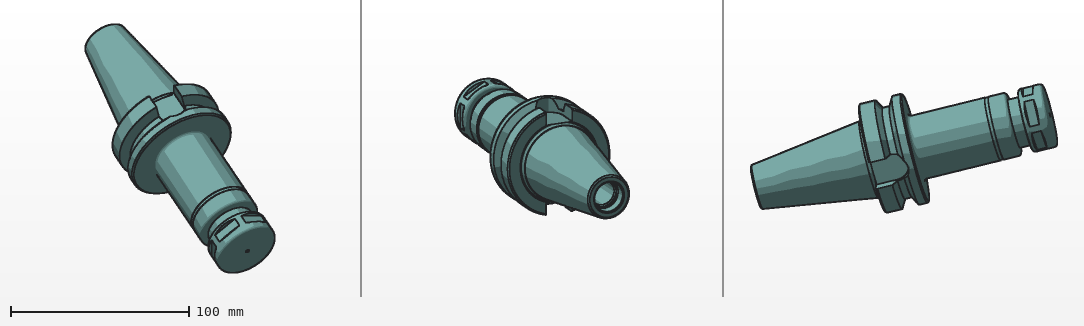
import cadquery as cq
import math


TAPER_SLOPE = 7 / 48
TAPER_LENGTH = 65.5
GAUGE_RADIUS = 44.5 / 2
TAPER_END_CHAMFER = 0.9
NECK_RADIUS = 22.0
NECK_FILLET = 1.4
RELIEF_DEPTH = 0.3
RELIEF_RAMP = 0.7

NECK_LENGTH = 2.0
FLANGE_START = TAPER_LENGTH + NECK_LENGTH
FLANGE_END = 92.5
FLANGE_RADIUS = 31.5
FLANGE_CHAMFER = 0.9
GROOVE_CENTRE = 82.0
GROOVE_FLOOR_WIDTH = 4.1
GROOVE_FLOOR_RADIUS = 26.4
GROOVE_FLANK_ANGLE = 30
SLOT_WIDTH = 16.0
SLOT_END = 88.3
SLOT_FLOOR_HEIGHT = 22.8

BODY_RADIUS = 18.2
BODY_END = 149.6
BODY_ROOT_FILLET = 2.4
BODY_END_FILLET = 2.0
RING_GROOVE_START = 137.2
RING_GROOVE_WIDTH = 2.0
RING_GROOVE_RADIUS = 36.0 / 2
NOSE_RADIUS = 14.0

NUT_START = 156.1
NUT_END = 170.4
NUT_RADIUS = BODY_RADIUS
NUT_FILLET = 2.0
POCKET_COUNT = 6
POCKET_START = 159.2
POCKET_END = 164.6
POCKET_FLOOR_RADIUS = 16.7
POCKET_WALL_FLARE = 0.7

MOUTH_RADIUS = 18.7 / 2
COUNTERBORE_RADIUS = 17.4 / 2
COUNTERBORE_DEPTH = 6.8
BORE_STEP_RADIUS = 16.0 / 2
BORE_STEP_DEPTH = 8.0
THREAD_BORE_RADIUS = 14.3 / 2
THREAD_BORE_DEPTH = 29
PILOT_RADIUS = 5.0 / 2
PILOT_DEPTH = 34
COOLANT_RADIUS = 2.0 / 2


def revolve_about_x(outline):
    """Turn a closed outline of (x, radius) about the X axis."""
    return outline.close().revolve(360, (0, 0, 0), (1, 0, 0))


def make_taper():
    small_radius = GAUGE_RADIUS - TAPER_LENGTH * TAPER_SLOPE
    return revolve_about_x(
        cq.Workplane("XY")
        .lineTo(0, small_radius - TAPER_END_CHAMFER)
        .lineTo(TAPER_END_CHAMFER, small_radius + TAPER_END_CHAMFER * TAPER_SLOPE)
        .lineTo(TAPER_LENGTH, GAUGE_RADIUS)
        .lineTo(TAPER_LENGTH, 0)
    )


def make_flange():
    floor_start = GROOVE_CENTRE - GROOVE_FLOOR_WIDTH / 2
    floor_end = GROOVE_CENTRE + GROOVE_FLOOR_WIDTH / 2
    flank_width = (FLANGE_RADIUS - GROOVE_FLOOR_RADIUS) * math.tan(math.radians(GROOVE_FLANK_ANGLE))
    rim_radius = FLANGE_RADIUS - FLANGE_CHAMFER
    relief_floor = FLANGE_START + RELIEF_DEPTH
    relief_radius = NECK_RADIUS + NECK_FILLET
    return revolve_about_x(
        cq.Workplane("XY")
        .moveTo(TAPER_LENGTH, 0)
        .lineTo(TAPER_LENGTH, NECK_RADIUS)
        .lineTo(relief_floor - NECK_FILLET, NECK_RADIUS)
        .radiusArc((relief_floor, relief_radius), -NECK_FILLET)
        .lineTo(FLANGE_START, relief_radius + RELIEF_RAMP)
        .lineTo(FLANGE_START, rim_radius)
        .lineTo(FLANGE_START + FLANGE_CHAMFER, FLANGE_RADIUS)
        .lineTo(floor_start - flank_width, FLANGE_RADIUS)
        .lineTo(floor_start, GROOVE_FLOOR_RADIUS)
        .lineTo(floor_end, GROOVE_FLOOR_RADIUS)
        .lineTo(floor_end + flank_width, FLANGE_RADIUS)
        .lineTo(FLANGE_END - FLANGE_CHAMFER, FLANGE_RADIUS)
        .lineTo(FLANGE_END, rim_radius)
        .lineTo(FLANGE_END, 0)
    )


def make_body():
    ring_groove_end = RING_GROOVE_START + RING_GROOVE_WIDTH
    return revolve_about_x(
        cq.Workplane("XY")
        .moveTo(FLANGE_END, 0)
        .lineTo(FLANGE_END, BODY_RADIUS + BODY_ROOT_FILLET)
        .radiusArc((FLANGE_END + BODY_ROOT_FILLET, BODY_RADIUS), -BODY_ROOT_FILLET)
        .lineTo(RING_GROOVE_START, BODY_RADIUS)
        .lineTo(RING_GROOVE_START, RING_GROOVE_RADIUS)
        .lineTo(ring_groove_end, RING_GROOVE_RADIUS)
        .lineTo(ring_groove_end, BODY_RADIUS)
        .lineTo(BODY_END - BODY_END_FILLET, BODY_RADIUS)
        .radiusArc((BODY_END, BODY_RADIUS - BODY_END_FILLET), BODY_END_FILLET)
        .lineTo(BODY_END, NOSE_RADIUS)
        .lineTo(NUT_START, NOSE_RADIUS)
        .lineTo(NUT_START, 0)
    )


def make_nut():
    shoulder_radius = NUT_RADIUS - NUT_FILLET
    return revolve_about_x(
        cq.Workplane("XY")
        .moveTo(NUT_START, 0)
        .lineTo(NUT_START, shoulder_radius)
        .radiusArc((NUT_START + NUT_FILLET, NUT_RADIUS), NUT_FILLET)
        .lineTo(NUT_END - NUT_FILLET, NUT_RADIUS)
        .radiusArc((NUT_END, shoulder_radius), NUT_FILLET)
        .lineTo(NUT_END, 0)
    )


def make_drive_slot():
    """Round-ended slot cutter for the +Z side of the flange."""
    end_radius = SLOT_WIDTH / 2
    arc_start = SLOT_END - end_radius
    return (
        cq.Workplane("XY", origin=(0, 0, SLOT_FLOOR_HEIGHT))
        .moveTo(TAPER_LENGTH, -end_radius)
        .lineTo(arc_start, -end_radius)
        .threePointArc((SLOT_END, 0), (arc_start, end_radius))
        .lineTo(TAPER_LENGTH, end_radius)
        .close()
        .extrude(FLANGE_RADIUS)
    )


def make_wrench_pocket():
    """Flat-floored cutter with flared end walls, for the +Y side of the nut."""
    return (
        cq.Workplane("XY")
        .moveTo(POCKET_START, POCKET_FLOOR_RADIUS)
        .lineTo(POCKET_END, POCKET_FLOOR_RADIUS)
        .lineTo(POCKET_END + POCKET_WALL_FLARE, NUT_RADIUS)
        .lineTo(POCKET_START - POCKET_WALL_FLARE, NUT_RADIUS)
        .close()
        .extrude(NUT_RADIUS, both=True)
    )


def make_bore():
    mouth_depth = MOUTH_RADIUS - COUNTERBORE_RADIUS
    step_start = COUNTERBORE_DEPTH + COUNTERBORE_RADIUS - BORE_STEP_RADIUS
    thread_start = BORE_STEP_DEPTH + BORE_STEP_RADIUS - THREAD_BORE_RADIUS
    return revolve_about_x(
        cq.Workplane("XY")
        .lineTo(0, MOUTH_RADIUS)
        .lineTo(mouth_depth, COUNTERBORE_RADIUS)
        .lineTo(COUNTERBORE_DEPTH, COUNTERBORE_RADIUS)
        .lineTo(step_start, BORE_STEP_RADIUS)
        .lineTo(BORE_STEP_DEPTH, BORE_STEP_RADIUS)
        .lineTo(thread_start, THREAD_BORE_RADIUS)
        .lineTo(THREAD_BORE_DEPTH, THREAD_BORE_RADIUS)
        .lineTo(THREAD_BORE_DEPTH, PILOT_RADIUS)
        .lineTo(PILOT_DEPTH, PILOT_RADIUS)
        .lineTo(PILOT_DEPTH, COOLANT_RADIUS)
        .lineTo(NUT_END, COOLANT_RADIUS)
        .lineTo(NUT_END, 0)
    )


result = make_taper().union(make_flange()).union(make_body()).union(make_nut())

for slot_angle in (0, 180):
    result = result.cut(make_drive_slot().rotate((0, 0, 0), (1, 0, 0), slot_angle))

for pocket_index in range(POCKET_COUNT):
    pocket_angle = pocket_index * 360 / POCKET_COUNT
    result = result.cut(make_wrench_pocket().rotate((0, 0, 0), (1, 0, 0), pocket_angle))

result = result.cut(make_bore())